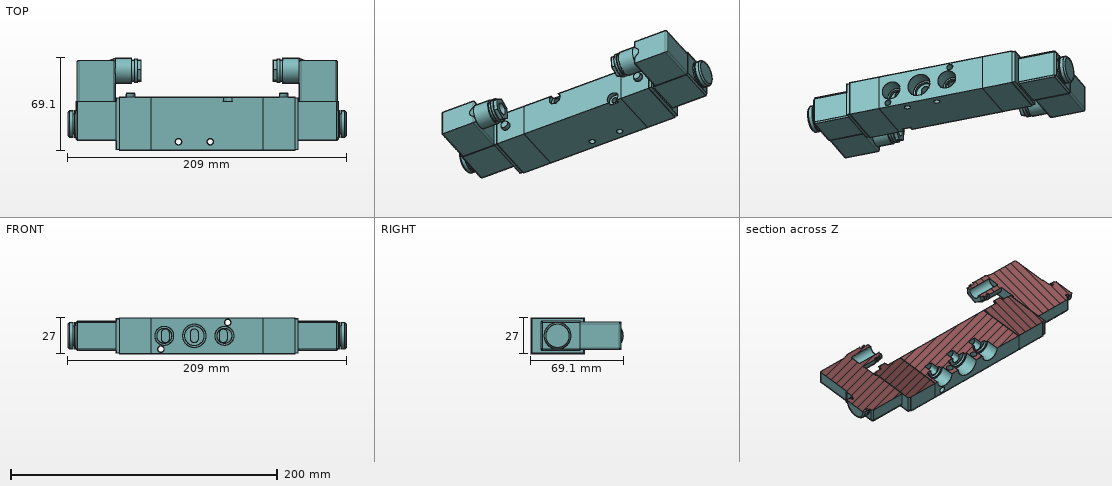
import cadquery as cq
import math


OVERALL_DEPTH = 69.1

VALVE_DEPTH = 39.9
VALVE_HEIGHT = 27.0
BODY_HALF_LENGTH = 42.0

PORT_CENTER_X = -9.6
PORT_PITCH = 22.5
SIDE_PASSAGE_PITCH = 21.7
MAIN_BORE_RADIUS = 8.8
SIDE_BORE_RADIUS = 7.0
BORE_DEPTH = 10.9
BORE_STEP = 1.5
STEP_END_Y = 13.0
PASSAGE_WIDTH = 6.0
PASSAGE_HEIGHT = 10.2
PASSAGE_END_Y = VALVE_DEPTH / 2

MOUNT_HOLE_DIAMETER = 4.5
VERTICAL_HOLE_SPACING = 23.8
VERTICAL_HOLE_Y = 6.5
CROSS_HOLE_SPACING = 50.1
CROSS_HOLE_Z = 10.0
COUNTERBORE_DIAMETER = 9.2
COUNTERBORE_DEPTH = 3.1

CAP_LENGTH = 23.8
STEP_LENGTH = 2.5
STEP_INSET = 0.52
BUTTON_X = 57.5
BUTTON_RADIUS = 3.3
BUTTON_TOP_RADIUS = 3.0
BUTTON_RIM_HEIGHT = 1.7
BUTTON_HEIGHT = 3.1

COIL_START_X = BODY_HALF_LENGTH + CAP_LENGTH + STEP_LENGTH
COIL_END_X = 98.3
COIL_FRONT_Y = 7.3
COIL_BACK_Y = 36.7
COIL_HEIGHT = 22.1
COIL_CHAMFER = 1.3
COIL_FRONT_CHAMFER = 0.6

NUT_Y = 19.8
NUT_END_X = 104.5
NUT_START_X = 100.5
NUT_RADIUS = 10.0
NUT_CHAMFER = 1.3
NECK_RADIUS = 7.5
WASHER_THICKNESS = 1.0

CONNECTOR_START_X = 69.0
CONNECTOR_END_X = 97.7
CONNECTOR_BACK_Y = 67.5
CONNECTOR_HEIGHT = 20.9
CONNECTOR_FILLET = 1.5

GLAND_RADIUS = 9.5
GLAND_Y = OVERALL_DEPTH - GLAND_RADIUS
GLAND_CONE_END_X = 73.3
GLAND_BARREL_END_X = 56.5
GLAND_GROOVE_RADIUS = 8.0
GLAND_COLLAR_START_X = 54.5
GLAND_COLLAR_END_X = 52.5
GLAND_COLLAR_RADIUS = 9.0
HEX_SIDES = 6
GLAND_HEX_END_X = 49.5
GLAND_HEX_RADIUS = 8.8
GLAND_HEX_TURN = 23.0
CABLE_HOLE_RADIUS = 4.5


def block(x_range, y_range, height):
    """Box between two X and two Y positions, centred on Z = 0."""
    (x0, x1), (y0, y1) = x_range, y_range
    box = cq.Workplane("XY").box(x1 - x0, y1 - y0, height)
    return box.translate(((x0 + x1) / 2, (y0 + y1) / 2, 0))


def disc_x(x0, x1, y, radius):
    """Cylinder along X between two X positions, centred on Z = 0."""
    return cq.Workplane("YZ", origin=(x0, y, 0)).circle(radius).extrude(x1 - x0)


def drill_y(x, z, y0, y1, radius):
    """Cylinder along Y between two Y positions."""
    return cq.Workplane("XZ", origin=(x, y0, z)).circle(radius).extrude(y0 - y1)


def port_cutter(x, passage_x, bore_radius):
    """Stepped round bore from the front face with an oblong passage at its bottom."""
    bore = drill_y(x, 0, 0, BORE_DEPTH, bore_radius)
    step = drill_y(x, 0, BORE_DEPTH, STEP_END_Y, bore_radius - BORE_STEP)
    passage = cq.Workplane("XZ", origin=(passage_x, 0, 0)).slot2D(PASSAGE_HEIGHT, PASSAGE_WIDTH, 90)
    return bore.union(step).union(passage.extrude(-PASSAGE_END_Y))


def make_body():
    body = block((-BODY_HALF_LENGTH, BODY_HALF_LENGTH), (0, VALVE_DEPTH), VALVE_HEIGHT)

    body = body.cut(port_cutter(PORT_CENTER_X, PORT_CENTER_X, MAIN_BORE_RADIUS))
    for side in (-1, 1):
        port_x = PORT_CENTER_X + side * PORT_PITCH
        passage_x = PORT_CENTER_X + side * SIDE_PASSAGE_PITCH
        body = body.cut(port_cutter(port_x, passage_x, SIDE_BORE_RADIUS))

        hole_x = PORT_CENTER_X + side * VERTICAL_HOLE_SPACING / 2
        hole = cq.Workplane("XY", origin=(hole_x, VERTICAL_HOLE_Y, -VALVE_HEIGHT / 2))
        body = body.cut(hole.circle(MOUNT_HOLE_DIAMETER / 2).extrude(VALVE_HEIGHT))

        cross_x = PORT_CENTER_X + side * CROSS_HOLE_SPACING / 2
        cross_z = side * CROSS_HOLE_Z
        body = body.cut(drill_y(cross_x, cross_z, 0, VALVE_DEPTH, MOUNT_HOLE_DIAMETER / 2))
        seat_y = VALVE_DEPTH - COUNTERBORE_DEPTH
        body = body.cut(drill_y(cross_x, cross_z, seat_y, VALVE_DEPTH, COUNTERBORE_DIAMETER / 2))
    return body


def make_cap():
    cap_end_x = BODY_HALF_LENGTH + CAP_LENGTH
    cap = block((BODY_HALF_LENGTH, cap_end_x), (0, VALVE_DEPTH), VALVE_HEIGHT)
    step_y_range = (STEP_INSET, VALVE_DEPTH - STEP_INSET)
    step = block((cap_end_x, COIL_START_X), step_y_range, VALVE_HEIGHT - 2 * STEP_INSET)

    rim_y = VALVE_DEPTH + BUTTON_RIM_HEIGHT
    rim = drill_y(BUTTON_X, 0, VALVE_DEPTH, rim_y, BUTTON_RADIUS)
    top = cq.Workplane("XZ", origin=(BUTTON_X, rim_y, 0)).circle(BUTTON_RADIUS)
    top = top.workplane(offset=BUTTON_RIM_HEIGHT - BUTTON_HEIGHT).circle(BUTTON_TOP_RADIUS).loft()
    return cap.union(step).union(rim).union(top)


def make_coil():
    coil = block((COIL_START_X, COIL_END_X), (COIL_FRONT_Y, COIL_BACK_Y), COIL_HEIGHT)
    coil = coil.faces("<Y").edges("|X").chamfer(COIL_CHAMFER, COIL_FRONT_CHAMFER)
    outer_edges = coil.faces(">X").edges("not(>Y)")
    return outer_edges.chamfer(COIL_CHAMFER)


def make_nut():
    washer = disc_x(COIL_END_X, COIL_END_X + WASHER_THICKNESS, NUT_Y, NUT_RADIUS)
    neck = disc_x(COIL_END_X, NUT_START_X, NUT_Y, NECK_RADIUS)
    knob = disc_x(NUT_START_X, NUT_END_X, NUT_Y, NUT_RADIUS).faces(">X").chamfer(NUT_CHAMFER)
    return washer.union(neck).union(knob)


def make_connector():
    connector = block(
        (CONNECTOR_START_X, CONNECTOR_END_X), (COIL_BACK_Y, CONNECTOR_BACK_Y), CONNECTOR_HEIGHT
    )
    return connector.faces("<X or >X").edges("not(<Y)").fillet(CONNECTOR_FILLET)


def make_gland():
    cone_tip_radius = CONNECTOR_BACK_Y - GLAND_Y
    profile = [
        (GLAND_CONE_END_X, 0),
        (GLAND_CONE_END_X, cone_tip_radius),
        (CONNECTOR_START_X, GLAND_RADIUS),
        (GLAND_BARREL_END_X, GLAND_RADIUS),
        (GLAND_BARREL_END_X, GLAND_GROOVE_RADIUS),
        (GLAND_COLLAR_START_X, GLAND_GROOVE_RADIUS),
        (GLAND_COLLAR_START_X, GLAND_COLLAR_RADIUS),
        (GLAND_COLLAR_END_X, GLAND_COLLAR_RADIUS),
        (GLAND_COLLAR_END_X, 0),
    ]
    turned = cq.Workplane("XY", origin=(0, GLAND_Y, 0)).polyline(profile).close()
    turned = turned.revolve(360, (0, 0, 0), (1, 0, 0))

    corners = []
    for i in range(HEX_SIDES):
        angle = math.radians(GLAND_HEX_TURN + 360 / HEX_SIDES * i)
        corners.append((GLAND_HEX_RADIUS * math.cos(angle), GLAND_HEX_RADIUS * math.sin(angle)))
    nut = cq.Workplane("YZ", origin=(GLAND_HEX_END_X, GLAND_Y, 0)).polyline(corners).close()
    return turned.union(nut.extrude(GLAND_COLLAR_END_X - GLAND_HEX_END_X))


def make_solenoid():
    solenoid = make_coil().union(make_nut()).union(make_connector()).union(make_gland())
    return solenoid.cut(disc_x(GLAND_HEX_END_X, CONNECTOR_START_X, GLAND_Y, CABLE_HOLE_RADIUS))


body = make_body()
right_cap = make_cap()
right_solenoid = make_solenoid()

solids = [body.solids().val()]
for part in (right_cap, right_solenoid):
    solids.append(part.solids().val())
    solids.append(part.mirror("YZ").solids().val())

result = cq.Compound.makeCompound(solids)